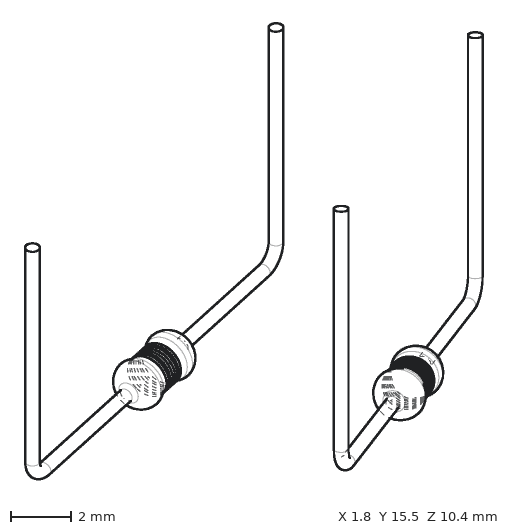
import cadquery as cq
import math

overall_length = 15.5
overall_height = 10.4
wire_diameter = 0.5
bulge_diameter = 1.8
waist_diameter = 1.53
band_diameter = 1.55

wire_radius = wire_diameter / 2
bulge_radius = bulge_diameter / 2
waist_radius = waist_diameter / 2
band_radius = band_diameter / 2

bend_radius = 0.75
leg_y = overall_length / 2 - wire_radius
leg_top_z = overall_height - bulge_radius

bulge_y = 0.96
shoulder_y = 0.73
dome_radius = 0.64
body_end_y = 1.75

band_width = 0.14
band_offsets = (0.14, 0.37)
waist_end_y = max(band_offsets) + band_width / 2


def make_wire():
    bend_start_y = leg_y - bend_radius
    bend_mid_offset = bend_radius * math.sqrt(0.5)
    path = (
        cq.Workplane("YZ")
        .moveTo(-leg_y, leg_top_z)
        .lineTo(-leg_y, bend_radius)
        .threePointArc(
            (-bend_start_y - bend_mid_offset, bend_radius - bend_mid_offset),
            (-bend_start_y, 0),
        )
        .lineTo(bend_start_y, 0)
        .threePointArc(
            (bend_start_y + bend_mid_offset, bend_radius - bend_mid_offset),
            (leg_y, bend_radius),
        )
        .lineTo(leg_y, leg_top_z)
    )
    section = cq.Workplane("XY", origin=(0, -leg_y, leg_top_z)).circle(wire_radius)
    return section.sweep(path)


def make_half_body():
    """Revolve the +Y half: waist, S-shaped shoulder, dome and concave neck."""
    shoulder_share = (shoulder_y - waist_end_y) / (bulge_y - waist_end_y)
    shoulder_radius = waist_radius + (bulge_radius - waist_radius) * shoulder_share

    dome_center_r = bulge_radius - dome_radius
    neck_dy = body_end_y - bulge_y
    wire_dr = wire_radius - dome_center_r
    neck_radius = (neck_dy**2 + wire_dr**2 - dome_radius**2) / (2 * (dome_radius - wire_dr))
    dome_share = dome_radius / (dome_radius + neck_radius)
    neck_start = (
        dome_center_r + (wire_dr + neck_radius) * dome_share,
        bulge_y + neck_dy * dome_share,
    )
    dome_end_angle = math.atan2(wire_dr + neck_radius, neck_dy)
    dome_mid_angle = (dome_end_angle + math.pi / 2) / 2
    dome_mid = (
        dome_center_r + dome_radius * math.sin(dome_mid_angle),
        bulge_y + dome_radius * math.cos(dome_mid_angle),
    )

    profile = (
        cq.Workplane("XY")
        .lineTo(waist_radius, 0)
        .lineTo(waist_radius, waist_end_y)
        .tangentArcPoint((shoulder_radius, shoulder_y), relative=False)
        .tangentArcPoint((bulge_radius, bulge_y), relative=False)
        .threePointArc(dome_mid, neck_start)
        .tangentArcPoint((wire_radius, body_end_y), relative=False)
        .lineTo(0, body_end_y)
        .close()
    )
    return profile.revolve(360, (0, 0, 0), (0, 1, 0))


def make_band(center_y):
    start_y = center_y - band_width / 2
    return cq.Workplane("XZ", origin=(0, start_y, 0)).circle(band_radius).extrude(-band_width)


half_body = make_half_body()
result = make_wire().union(half_body).union(half_body.mirror("XZ"))
for offset in band_offsets:
    for side in (-1, 1):
        result = result.union(make_band(side * offset))